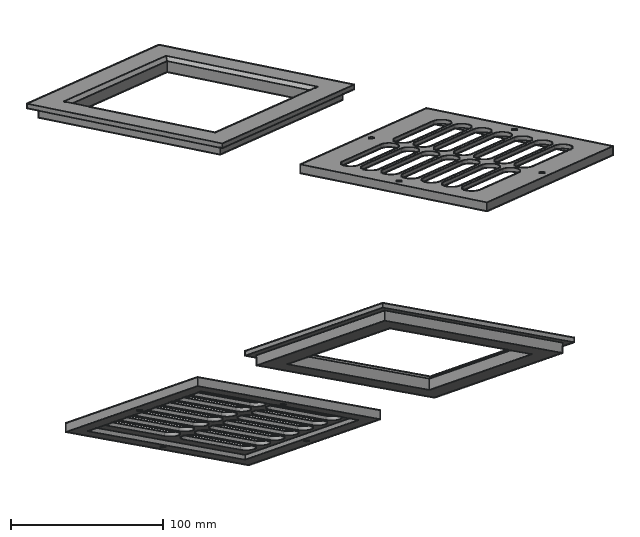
import cadquery as cq

overall_length = 363.5
overall_height = 10.0

flange_size = 155.0
flange_thickness = 3.3
collar_size = 144.0
opening_size = 115.0
opening_chamfer = 2.5

grille_size = 148.0
grille_thickness = 6.0
slot_columns = 7
slot_rows = 2
slot_width = 13.0
slot_length = 58.0
slot_column_pitch = 16.0
slot_row_pitch = 61.5
recess_size = 127.2
slotted_thickness = 3.0
screw_hole_diameter = 3.6
screw_hole_offset = 67.5

grille_x = overall_length - flange_size / 2 - grille_size / 2
grille_y = (collar_size - grille_size) / 2


def square_plate(size, thickness, base_z=0):
    """Square plate centred on the Z axis, standing on base_z."""
    return cq.Workplane("XY", origin=(0, 0, base_z)).rect(size, size).extrude(thickness)


def make_frame():
    collar_height = overall_height - flange_thickness
    collar = square_plate(collar_size, collar_height)
    flange = square_plate(flange_size, flange_thickness, collar_height)
    opening = square_plate(opening_size, overall_height)

    frame = collar.union(flange).cut(opening)

    shortest_wire = cq.selectors.LengthNthSelector(0)
    return frame.faces(">Z").wires(shortest_wire).edges().chamfer(opening_chamfer)


def make_grille():
    plate = square_plate(grille_size, grille_thickness)
    recess = square_plate(recess_size, grille_thickness - slotted_thickness)
    slots = (
        cq.Workplane("XY")
        .rarray(slot_column_pitch, slot_row_pitch, slot_columns, slot_rows)
        .slot2D(slot_length, slot_width, 90)
        .extrude(grille_thickness)
    )
    screw_holes = (
        cq.Workplane("XY")
        .polarArray(screw_hole_offset, 0, 360, 4)
        .circle(screw_hole_diameter / 2)
        .extrude(grille_thickness)
    )
    return plate.cut(recess).cut(slots).cut(screw_holes).translate((grille_x, grille_y, 0))


frame = make_frame()
grille = make_grille()

result = cq.Compound.makeCompound([frame.val(), grille.val()])